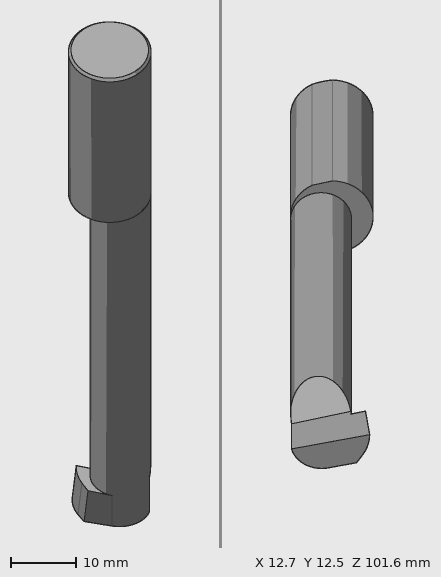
import cadquery as cq
import math

total_length = 101.6
shank_diameter = 12.7
shank_length = 31.7
shank_chamfer = 0.4
shank_flat_depth = 0.2

neck_diameter = 9.3
neck_radius = neck_diameter / 2
neck_center_x = shank_diameter / 2 - neck_radius
shank_bottom = total_length - shank_length

rake_face_top = 8.4

head_top = 7.6
tip_x = -6.0
flank_end_x = -4.2
flank_end_y = -3.4
flank_bulge = 0.25
side_relief_angle = 5.0
end_relief_angle_x = 3.0
end_relief_angle_y = 5.0


def slope(angle):
    return math.tan(math.radians(angle))


def make_shank():
    """Round shank, chamfered at the top, with a shallow locating flat along its +Y side."""
    bar = (
        cq.Workplane("XY", origin=(0, 0, shank_bottom))
        .circle(shank_diameter / 2)
        .extrude(shank_length)
        .faces(">Z")
        .chamfer(shank_chamfer)
    )
    flat_y = shank_diameter / 2 - shank_flat_depth
    flat_cut = cq.Workplane("XY", origin=(0, flat_y, shank_bottom)).box(
        shank_diameter, shank_flat_depth, shank_length, centered=(True, False, False)
    )
    return bar.cut(flat_cut)


def make_neck():
    return cq.Workplane("XY").center(neck_center_x, 0).circle(neck_radius).extrude(shank_bottom)


def make_rake_cut():
    """Clear the +Y half of the neck end, with a 45 degree run-out."""
    reach = shank_diameter
    return (
        cq.Workplane("YZ")
        .polyline([(0, 0), (reach, 0), (reach, rake_face_top + reach), (0, rake_face_top)])
        .close()
        .extrude(reach, both=True)
    )


def head_outline(z):
    """Closed head section at height z: curved flank, 45 degree corner, flat tangent to the neck."""
    lean = z * slope(side_relief_angle)
    start = cq.Vector(tip_x + lean, 0, z)
    end = cq.Vector(flank_end_x + lean, flank_end_y, z)
    chord = end - start
    outward = cq.Vector(chord.y, -chord.x, 0).normalized()
    middle = (start + end) * 0.5 + outward * flank_bulge
    corner = cq.Vector(end.x + neck_radius + flank_end_y, -neck_radius, z)
    tangent_point = cq.Vector(neck_center_x, -neck_radius, z)
    neck_axis = cq.Vector(neck_center_x, 0, z)
    flank = cq.Edge.makeThreePointArc(start, middle, end)
    rest = cq.Wire.makePolygon([end, corner, tangent_point, neck_axis, start])
    return cq.Wire.assembleEdges([flank] + rest.Edges())


def make_head():
    return cq.Workplane(cq.Solid.makeLoft([head_outline(0), head_outline(head_top)], True))


def make_end_relief_cut():
    """Everything below the sloping end face, which passes through the cutting tip."""
    slope_x = slope(end_relief_angle_x)
    slope_y = slope(end_relief_angle_y)
    end_face = cq.Plane(
        origin=(tip_x, 0, 0),
        xDir=(1, 0, slope_x),
        normal=(-slope_x, slope_y, 1),
    )
    cutter_size = 4 * shank_diameter
    return cq.Workplane(end_face).rect(cutter_size, cutter_size).extrude(-shank_diameter)


neck = make_neck().cut(make_rake_cut())
result = make_shank().union(neck).union(make_head()).cut(make_end_relief_cut())